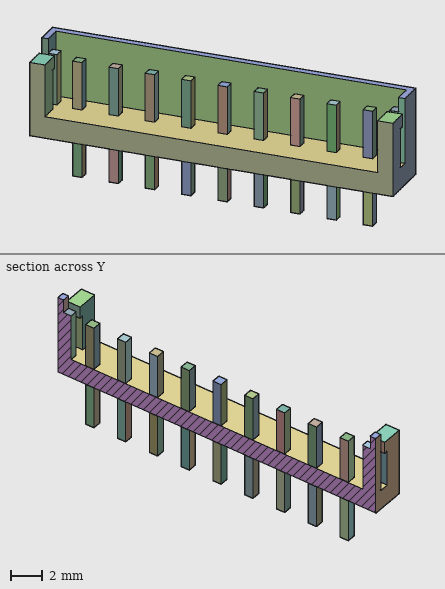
import cadquery as cq

length = 25.0
depth = 3.8
back_height = 6.0
floor_thickness = 1.5
back_thickness = 0.5

end_wall_thickness = 0.45
end_wall_reach = 1.8

post_width = 1.05
post_height = 5.1
slot_front = 2.5
lip_overhang = 0.28
lip_height = 0.9

rib_depth = 0.68
rib_top = 5.0

pin_count = 9
pin_pitch = 2.5
pin_side = 0.65
pin_setback = 1.6
pin_top = 4.8
pin_tail = 3.2


def block(x_range, setback_range, z_range):
    """Box between two X values, two distances forward of the back face, and two Z values."""
    x_min, x_max = x_range
    back, front = setback_range
    z_min, z_max = z_range
    return cq.Workplane("XY").box(
        x_max - x_min, front - back, z_max - z_min, centered=False
    ).translate((x_min, -front, z_min))


def tray():
    """Floor with the tall back wall."""
    half = length / 2
    floor = block((-half, half), (0, depth), (0, floor_thickness))
    back_wall = block((-half, half), (0, back_thickness), (0, back_height))
    return floor.union(back_wall)


def left_end():
    """End wall, rib and latch post at the -X end."""
    outer = -length / 2
    wall_x = (outer, outer + end_wall_thickness)
    post_x = (outer, outer + post_width)
    wall = block(wall_x, (0, end_wall_reach), (0, back_height))
    rib = block(post_x, (end_wall_reach - rib_depth, end_wall_reach), (0, rib_top))
    post = block(post_x, (slot_front, depth), (0, post_height))
    lip = block(post_x, (slot_front - lip_overhang, depth), (post_height - lip_height, post_height))
    return wall.union(rib).union(post).union(lip)


def pin(x):
    """Straight square pin through the floor, centred at x."""
    half = pin_side / 2
    return block((x - half, x + half), (pin_setback - half, pin_setback + half), (-pin_tail, pin_top))


end = left_end()
result = tray().union(end).union(end.mirror("YZ"))
for index in range(pin_count):
    result = result.union(pin((index - (pin_count - 1) / 2) * pin_pitch))